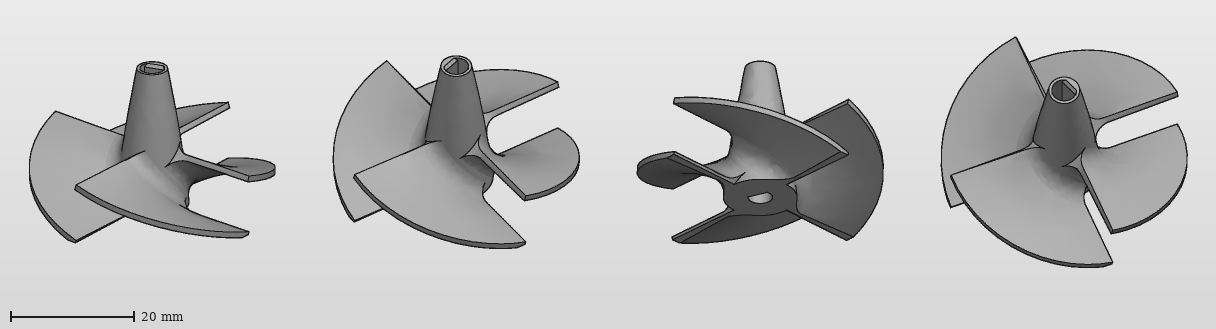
import cadquery as cq
import math

rotor_radius = 20.0
total_height = 24.0

hub_top_radius = 2.5
hub_base_radius = 6.0
hub_bulge = 0.28
hub_extension = 6.0

blade_count = 4
blade_climb = 10.0
blade_sweep = 90.0
blade_thickness = 1.0
blade_lead_angle = -108.5
blade_inner_radius = 3.2
rim_overhang = 1.2
blade_outer_radius = rotor_radius + rim_overhang
root_fillet = 3.0

bore_radius = 2.0
flat_offset = 1.0
flat_chamfer = 0.5

chord_run = hub_base_radius - hub_top_radius
chord_length = math.hypot(chord_run, total_height)
arc_radius = (chord_length**2 / 4 + hub_bulge**2) / (2 * hub_bulge)
center_depth = arc_radius - hub_bulge
arc_center_r = (hub_base_radius + hub_top_radius) / 2 - center_depth * total_height / chord_length
arc_center_z = total_height / 2 - center_depth * chord_run / chord_length


def hub_radius(z):
    """Radius of the hub side at height z."""
    return arc_center_r + math.sqrt(arc_radius**2 - (z - arc_center_z) ** 2)


def make_hub():
    """Solid hub, prolonged below the base plane so that the blade roots run past it."""
    bottom = -hub_extension
    middle = (bottom + total_height) / 2
    return (
        cq.Workplane("XZ")
        .moveTo(0, bottom)
        .lineTo(hub_radius(bottom), bottom)
        .threePointArc((hub_radius(middle), middle), (hub_top_radius, total_height))
        .lineTo(0, total_height)
        .close()
        .revolve(360, (0, 0, 0), (0, 1, 0))
    )


def make_blade():
    """One blade with its upper end on +X, half its thickness on each side of a helicoid."""
    pitch = blade_climb * 360 / blade_sweep
    inner_edge, outer_edge = [
        cq.Wire.makeHelix(pitch, blade_climb, radius, lefthand=True).Edges()[0]
        for radius in (blade_inner_radius, blade_outer_radius)
    ]
    middle_sheet = cq.Face.makeRuledSurface(inner_edge, outer_edge)
    half_blade = middle_sheet.thicken(blade_thickness / 2)
    broad_faces = sorted(half_blade.Faces(), key=lambda face: face.Area())[-2:]
    blade = broad_faces[0].thicken(-blade_thickness)
    return cq.Workplane(obj=blade).rotate((0, 0, 0), (0, 0, 1), blade_sweep)


def is_root_edge(edge):
    """True for the long edges where a broad face of the blade meets the hub."""
    box = edge.BoundingBox()
    least_climb = 0.8
    runs_full_height = box.zlen > least_climb * blade_climb
    return runs_full_height and box.DiagonalLength < rotor_radius and edge.geomType() == "BSPLINE"


def make_rotor():
    """Hub with all its blades, filleted along both sides of every root."""
    blade = make_blade()
    rotor = make_hub()
    for index in range(blade_count):
        turn = index * 360 / blade_count
        rotor = rotor.union(blade.rotate((0, 0, 0), (0, 0, 1), turn))
    root_edges = [edge for edge in rotor.edges().vals() if is_root_edge(edge)]
    rotor = rotor.newObject(root_edges).fillet(root_fillet)
    return rotor.rotate((0, 0, 0), (0, 0, 1), blade_lead_angle)


def make_bore():
    """D-shaped through bore; its flat faces -Y and is chamfered at the top."""
    flat_side = (
        cq.Workplane("YZ")
        .moveTo(flat_offset, 0)
        .lineTo(flat_offset, total_height - flat_chamfer)
        .lineTo(flat_offset + flat_chamfer, total_height)
        .lineTo(bore_radius, total_height)
        .lineTo(bore_radius, 0)
        .close()
        .extrude(bore_radius, both=True)
    )
    return cq.Workplane().circle(bore_radius).extrude(total_height).cut(flat_side)


envelope = cq.Workplane().circle(rotor_radius).extrude(total_height)
result = make_rotor().intersect(envelope).cut(make_bore())